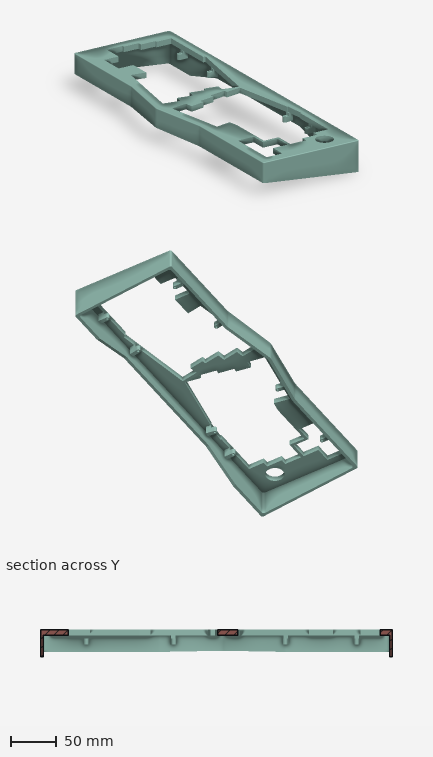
import cadquery as cq
import math


LENGTH = 386.9
DEPTH = 137.06
HEIGHT = 37.59
BACK_Y = DEPTH / 2
BOTTOM_TILT = 6.0
RIM_FILLET = 1.0
CORNER_RADIUS = 2.0

TURN = 10.0
NOSE_X = -6.8
NOSE_HALF_WIDTH = 69.4
NOSE_RADIUS = 10.0
NOSE_LENGTH = NOSE_HALF_WIDTH * math.tan(math.radians(TURN))
NOSE_SETBACK = NOSE_RADIUS * (1 / math.cos(math.radians(TURN)) - 1)
NOSE_TIP_Y = -DEPTH / 2 - NOSE_SETBACK
FRONT_Y = NOSE_TIP_Y + NOSE_LENGTH

WALL = 3.5
PLATE = 6.5
CAVITY_RADIUS = 3.0
CUTOUT_HALF_WIDTH = 141.0
CUTOUT_ANGLE = 15.5
CUTOUT_TOP_Z = -22.0

UNIT = 19.05
GAP = 0.75
ROWS_BOTTOM_Y = -39.0
LEFT_COLUMN_X = -171.5
RIGHT_COLUMN_X = 161.8
LEFT_SEAM_X = -102.0
RIGHT_SEAM_X = 78.0
LEFT_PIVOT = (-14.65, -54.05)
RIGHT_PIVOT = (4.35, -53.4)
HALF_TURN_CORNER = (68.6, 55.5)
HALF_TURN_KEY_UNITS = 1.15

LEFT_STRAIGHT_STARTS = (-0.5, -0.375, -0.125, 0)
LEFT_TURNED_ENDS = (-0.5, -1, -1.25, -0.75)
RIGHT_STRAIGHT_ENDS = (-1.25, 0, -0.375, -0.75)
RIGHT_TURNED_SPANS = ((0.5, 4.75), (0.25, 4.75), (0, 4.75), (0.25, 4.25))
LEFT_TURNED_START = -5.75
LEFT_TURNED_BOTTOM_UNITS = 4.75
RIGHT_TURNED_BOTTOM_UNITS = 3.75
BOTTOM_LEFT_KEY = (0.75, 2.25)
ARROW_DROP = 0.25

KNOB_DIAMETER = 21.0
KNOB_CENTRE = (170.9, 37.6)

POST_RADIUS = 2.5
POST_HOLE_DIAMETER = 2.4
POST_TOP_Z = -10.0
POST_BOTTOM_Z = -16.5
POST_ROOT_START = 3.6
POST_ROOT_LENGTH = 6.0
POSTS = (
    (-150.2, 53.3, 90),
    (-87.8, 52.4, 90 - TURN),
    (68.8, 51.4, 90 + TURN),
    (110.2, 53.5, 90),
    (-153.8, -36.8, -90),
    (-75.35, -41.2, -90 - TURN),
    (47.0, -43.9, -90 + TURN),
    (143.0, -41.2, -90),
)


def sharp_block():
    """Full-height block with the rounded nose, before the corners and rim are rounded."""
    block = (
        cq.Workplane("XY")
        .moveTo(-LENGTH / 2, BACK_Y)
        .lineTo(LENGTH / 2, BACK_Y)
        .lineTo(LENGTH / 2, FRONT_Y)
        .lineTo(NOSE_X + NOSE_HALF_WIDTH, FRONT_Y)
        .lineTo(NOSE_X, NOSE_TIP_Y)
        .lineTo(NOSE_X - NOSE_HALF_WIDTH, FRONT_Y)
        .lineTo(-LENGTH / 2, FRONT_Y)
        .close()
        .extrude(-HEIGHT)
    )
    return block.edges("|Z").edges("not(<X or >X)").fillet(NOSE_RADIUS)


def cavity(block):
    """Space inside the walls and below the plate."""
    inner_wire = block.faces("<Z").wires().val().offset2D(-WALL)[0]
    space = cq.Workplane("XY").add(inner_wire).toPending().extrude(HEIGHT - PLATE)
    return space.edges("|Z").edges("<X or >X").fillet(CAVITY_RADIUS)


def below_tilted_bottom():
    """Everything under the tilted underside, which starts at the full height at the back."""
    run = 2 * DEPTH
    rise = run * math.tan(math.radians(BOTTOM_TILT))
    return (
        cq.Workplane("YZ")
        .moveTo(BACK_Y, -HEIGHT)
        .lineTo(BACK_Y - run, -HEIGHT + rise)
        .lineTo(BACK_Y - run, -2 * HEIGHT)
        .lineTo(BACK_Y, -2 * HEIGHT)
        .close()
        .extrude(LENGTH, both=True)
    )


def back_cutout():
    """Trapezoid through the back wall, open at the bottom."""
    top_half_width = CUTOUT_HALF_WIDTH - (HEIGHT + CUTOUT_TOP_Z) / math.tan(math.radians(CUTOUT_ANGLE))
    return (
        cq.Workplane("XZ", origin=(NOSE_X, BACK_Y, 0))
        .moveTo(-CUTOUT_HALF_WIDTH, -HEIGHT)
        .lineTo(-top_half_width, CUTOUT_TOP_Z)
        .lineTo(top_half_width, CUTOUT_TOP_Z)
        .lineTo(CUTOUT_HALF_WIDTH, -HEIGHT)
        .close()
        .extrude(WALL)
    )


def key_row(first_x, last_x, bottom_y, rows=1):
    """Cutter through the plate for keys from first_x to last_x, with clearance all round."""
    width = last_x - first_x + 2 * GAP
    height = rows * UNIT + 2 * GAP
    row = cq.Workplane("XY").box(width, height, 2 * HEIGHT, centered=False)
    return row.translate((first_x - GAP, bottom_y - GAP, -HEIGHT))


def row_y(row):
    return ROWS_BOTTOM_Y + row * UNIT


def turned_about_z(shape, angle, place):
    """Turn a shape about the origin, then move the origin to place."""
    return shape.rotate((0, 0, 0), (0, 0, 1), angle).translate((*place, 0))


def left_opening():
    first, last = BOTTOM_LEFT_KEY
    straight = key_row(LEFT_COLUMN_X + first * UNIT, LEFT_COLUMN_X + last * UNIT, row_y(0))
    for row, start in enumerate(LEFT_STRAIGHT_STARTS, start=1):
        straight = straight.union(key_row(LEFT_COLUMN_X + start * UNIT, LEFT_SEAM_X, row_y(row)))
    turned = key_row(-LEFT_TURNED_BOTTOM_UNITS * UNIT, 0, 0)
    for row, end in enumerate(LEFT_TURNED_ENDS, start=1):
        turned = turned.union(key_row(LEFT_TURNED_START * UNIT, end * UNIT, row * UNIT))
    return straight.union(turned_about_z(turned, -TURN, LEFT_PIVOT))


def right_opening():
    half_turned = key_row(0, HALF_TURN_KEY_UNITS * UNIT, -UNIT)
    opening = turned_about_z(half_turned, TURN / 2, HALF_TURN_CORNER)
    for row, end in enumerate(RIGHT_STRAIGHT_ENDS, start=1):
        opening = opening.union(key_row(RIGHT_SEAM_X, RIGHT_COLUMN_X + end * UNIT, row_y(row)))
    turned = key_row(0, RIGHT_TURNED_BOTTOM_UNITS * UNIT, 0)
    for row, (first, last) in enumerate(RIGHT_TURNED_SPANS, start=1):
        turned = turned.union(key_row(first * UNIT, last * UNIT, row * UNIT))
    return opening.union(turned_about_z(turned, TURN, RIGHT_PIVOT))


def arrow_opening():
    """Three keys in a row with a fourth above the middle one."""
    bottom_y = row_y(-ARROW_DROP)
    keys = key_row(RIGHT_COLUMN_X - 2 * UNIT, RIGHT_COLUMN_X + UNIT, bottom_y)
    return keys.union(key_row(RIGHT_COLUMN_X - UNIT, RIGHT_COLUMN_X, bottom_y, rows=2))


def knob_hole():
    return cq.Workplane("XY").center(*KNOB_CENTRE).circle(KNOB_DIAMETER / 2).extrude(-HEIGHT)


def screw_post(x, y, direction):
    """Drilled round tab on a root that hangs from the underside of the plate."""
    post_height = POST_TOP_Z - POST_BOTTOM_Z
    root_height = -PLATE - POST_BOTTOM_Z
    width = 2 * POST_RADIUS
    along_x = (False, True, False)
    boss = cq.Workplane("XY").circle(POST_RADIUS).extrude(post_height)
    stem = cq.Workplane("XY").box(POST_ROOT_START, width, post_height, centered=along_x)
    root = cq.Workplane("XY").box(POST_ROOT_LENGTH, width, root_height, centered=along_x)
    root = root.translate((POST_ROOT_START, 0, 0))
    hole = cq.Workplane("XY").circle(POST_HOLE_DIAMETER / 2).extrude(post_height)
    post = boss.union(stem).union(root).cut(hole).translate((0, 0, POST_BOTTOM_Z))
    return turned_about_z(post, direction, (x, y))


block = sharp_block()
frame = block.edges("|Z").edges("<X or >X").fillet(CORNER_RADIUS)
frame = frame.faces(">Z").edges().fillet(RIM_FILLET)
frame = frame.cut(cavity(block)).cut(below_tilted_bottom()).cut(back_cutout())
for cutter in (left_opening(), right_opening(), arrow_opening(), knob_hole()):
    frame = frame.cut(cutter)
for x, y, direction in POSTS:
    frame = frame.union(screw_post(x, y, direction))

result = frame